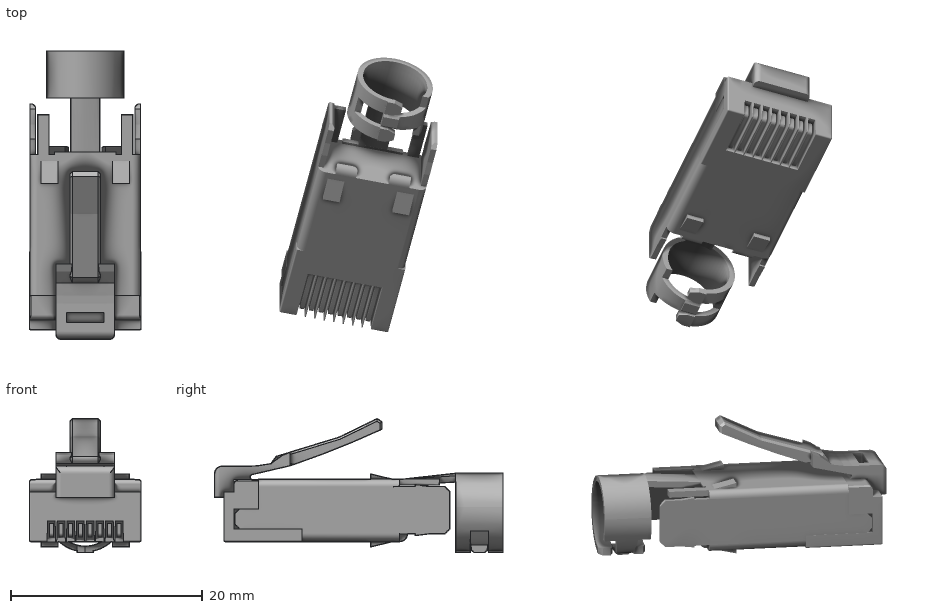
import cadquery as cq
import math

LENGTH = 30.2

SHIELD_WIDTH = 11.6
SHIELD_HEIGHT = 6.55
SHIELD_FRONT = 4.6
SHIELD_REAR = 19.35
SHIELD_CORNER = 0.82
SHEET = 0.63
TOP_PLATE_REAR = 19.63
TOP_PLATE_HALF_WIDTH = 3.95
HALF_SHIELD = SHIELD_WIDTH / 2

NOSE_WIDTH = 11.7
NOSE_FRONT = 1.0
NOSE_HEIGHT = 6.5
NOSE_STEP_Y = 2.05
NOSE_STEP_Z = 5.2
NOSE_TOP_RADIUS = 0.48
NOSE_EDGE = 0.15
SKIRT_REAR = 9.15
SKIRT_HEIGHT = 1.35
WINDOW_TOP = 3.45
WINDOW_CORNER = 0.48
TONGUE_GAP = 0.1

SIDE_PLATE_REAR = 24.65
SIDE_PLATE_THICKNESS = 0.6
SIDE_PLATE_TOP = 5.8
SIDE_PLATE_CHAMFER = 0.55
SIDE_BARB_FRONT = 21.0
SIDE_BARB_REAR = 22.45
SIDE_BARB_HEIGHT = 0.18
TAB_INNER = 3.78
TAB_WIDTH = 1.2
TAB_REAR = 23.53
RELIEF_WIDTH = 0.55
LIP_REAR = 20.2
LIP_INNER = 1.75
LIP_CHAMFER = 0.35

BARB_INNER = 2.85
BARB_WIDTH = 1.78
BARB_FRONT = 16.35
BARB_REAR = 18.63
BARB_HEIGHT = 0.55

LATCH_WIDTH = 6.13
LATCH_BOTTOM = 4.65
LATCH_TOP = 7.9
LATCH_TOP_RADIUS = 0.82
LATCH_SIDE_RADIUS = 0.55
LEVER_WIDTH = 3.2
LEVER_CHAMFER = 0.25
HINGE_RADIUS = 0.27
SLOT_LENGTH = 3.95
SLOT_WIDTH = 1.05
SLOT_CENTER_Y = 2.3
SLOT_DEPTH = 1.2
SLOT_CORNER = 0.15

CONTACT_COUNT = 8
CONTACT_ROW_SPAN = 7.1
CONTACT_PITCH = CONTACT_ROW_SPAN / (CONTACT_COUNT - 1)
CONTACT_SLOT_TOP_WIDTH = 0.8
CONTACT_SLOT_BOTTOM_WIDTH = 0.9
CONTACT_SLOT_HEIGHT = 2.17
CONTACT_SLOT_LENGTH = 5.45
BLADE_WIDTH = 0.42
BLADE_BOTTOM = 0.5
BLADE_TOP = 1.93
BLADE_SETBACK = 0.45
BLADE_RADIUS = 0.35

SLEEVE_RADIUS = 4.02
SLEEVE_AXIS_Z = 3.2
SLEEVE_SEAM_RISE = 0.4
SLEEVE_FRONT = 25.25
SLEEVE_WALL = 0.6
SLEEVE_SAG = 0.25
SLEEVE_INNER_RADIUS = SLEEVE_RADIUS - SLEEVE_WALL
CRIMP_NOTCH_TOP = 1.15
CRIMP_OVERLAP = 0.85
CRIMP_BOTTOM = -1.15
TONGUE_ROOT_HALF = 1.15
TONGUE_TIP_HALF = 0.8
TONGUE_TIP_CHAMFER = 0.25
PRONG_GAP_HALF = 0.95
PRONG_CHAMFER = 0.35
STRIP_WIDTH = 3.05
STRIP_END_CROWN = 0.015


def box(x0, x1, y0, y1, z0, z1):
    """Box between opposite corners."""
    return cq.Workplane("XY").box(x1 - x0, y1 - y0, z1 - z0, centered=False).translate((x0, y0, z0))


def side_prism(profile, x0, x1):
    """Closed (Y, Z) profile extruded from x0 to x1."""
    return cq.Workplane("YZ").polyline(profile).close().extrude(x1 - x0).translate((x0, 0, 0))


def both_sides(shape):
    """The shape together with its mirror image across X = 0."""
    return shape.union(shape.mirror("YZ"))


def make_shield():
    shell = box(-HALF_SHIELD, HALF_SHIELD, SHIELD_FRONT, SHIELD_REAR, 0, SHIELD_HEIGHT)
    shell = shell.edges("|Y").fillet(SHIELD_CORNER)
    top_plate = box(
        -TOP_PLATE_HALF_WIDTH, TOP_PLATE_HALF_WIDTH,
        SHIELD_FRONT, TOP_PLATE_REAR, SHIELD_HEIGHT - SHEET, SHIELD_HEIGHT,
    )
    tab = box(
        TAB_INNER, TAB_INNER + TAB_WIDTH,
        SHIELD_REAR, TAB_REAR, SHIELD_HEIGHT - SHEET, SHIELD_HEIGHT,
    )
    relief = box(
        TAB_INNER - RELIEF_WIDTH, TAB_INNER,
        SHIELD_REAR, TOP_PLATE_REAR, SHIELD_HEIGHT - SHEET, SHIELD_HEIGHT,
    )
    return shell.union(top_plate).cut(both_sides(relief)).union(both_sides(tab))


def make_side_plate():
    bottom = SHIELD_CORNER
    top = SIDE_PLATE_TOP
    inner = HALF_SHIELD - SIDE_PLATE_THICKNESS
    plate = box(inner, HALF_SHIELD, SHIELD_REAR - SHEET, SIDE_PLATE_REAR, bottom, top)
    plate = plate.edges("|X and >Y").chamfer(SIDE_PLATE_CHAMFER)
    plate = plate.faces(">Y").edges("<X").chamfer(SIDE_PLATE_THICKNESS / 2)
    for edge, outward in ((bottom, -1), (top, 1)):
        barb = [
            (SIDE_BARB_FRONT, edge),
            (SIDE_BARB_REAR, edge),
            (SIDE_BARB_FRONT, edge + outward * SIDE_BARB_HEIGHT),
        ]
        plate = plate.union(side_prism(barb, inner, HALF_SHIELD))
    return plate


def make_rear_lip():
    """Quarter-round continuation of the bottom plate, curling up at the cable end."""
    lip = (
        cq.Workplane("YZ")
        .moveTo(SHIELD_REAR - SHEET, 0)
        .lineTo(SHIELD_REAR, 0)
        .tangentArcPoint((LIP_REAR, SHIELD_CORNER), relative=False)
        .lineTo(SHIELD_REAR - SHEET, SHIELD_CORNER)
        .close()
        .extrude(TOP_PLATE_HALF_WIDTH - LIP_INNER)
        .translate((LIP_INNER, 0, 0))
    )
    return lip.faces("<X").edges(">Z").chamfer(LIP_CHAMFER)


def make_barb():
    top = [
        (BARB_REAR, SHIELD_HEIGHT),
        (BARB_FRONT, SHIELD_HEIGHT + BARB_HEIGHT),
        (BARB_FRONT, SHIELD_HEIGHT),
    ]
    upper = side_prism(top, BARB_INNER, BARB_INNER + BARB_WIDTH)
    lower = upper.mirror("XY").translate((0, 0, SHIELD_HEIGHT))
    return upper.union(lower)


def make_nose():
    half = NOSE_WIDTH / 2
    front = box(-half, half, NOSE_FRONT, SHIELD_FRONT, 0, NOSE_STEP_Z)
    skirt = box(-half, half, NOSE_STEP_Y, SKIRT_REAR, 0, SKIRT_HEIGHT)
    front = front.union(skirt)
    front = front.edges("(|Z and <Y) or (<Z and (not >Y))").fillet(NOSE_EDGE)
    upper = box(-half, half, NOSE_STEP_Y, SHIELD_FRONT, NOSE_STEP_Z / 2, NOSE_HEIGHT)
    upper = upper.edges("|Y and >Z").chamfer(NOSE_EDGE)
    upper = upper.edges("|X and >Z and <Y").fillet(NOSE_TOP_RADIUS)
    nose = front.union(upper)

    window = box(HALF_SHIELD - SHEET, half, NOSE_STEP_Y, SHIELD_FRONT, SKIRT_HEIGHT, WINDOW_TOP)
    tongue = box(
        HALF_SHIELD - SHEET, HALF_SHIELD,
        NOSE_STEP_Y + TONGUE_GAP, SHIELD_FRONT, SKIRT_HEIGHT, WINDOW_TOP,
    )
    tongue = tongue.edges("|X and <Y").chamfer(WINDOW_CORNER)
    return nose.cut(both_sides(window)).union(both_sides(tongue))


def make_contact_slot():
    half_top = CONTACT_SLOT_TOP_WIDTH / 2
    half_bottom = CONTACT_SLOT_BOTTOM_WIDTH / 2
    rear = NOSE_FRONT + CONTACT_SLOT_LENGTH
    outline = [
        (-half_bottom, 0),
        (half_bottom, 0),
        (half_top, CONTACT_SLOT_HEIGHT),
        (-half_top, CONTACT_SLOT_HEIGHT),
    ]
    slot = cq.Workplane("XZ").polyline(outline).close().extrude(-CONTACT_SLOT_LENGTH)
    slot = slot.translate((0, NOSE_FRONT, 0))
    blade = box(
        -BLADE_WIDTH / 2, BLADE_WIDTH / 2,
        NOSE_FRONT + BLADE_SETBACK, rear, BLADE_BOTTOM, BLADE_TOP,
    )
    blade = blade.edges("|X and <Y and <Z").fillet(BLADE_RADIUS)
    return slot.cut(blade)


def make_latch():
    hinge_y = 4.02
    hinge_z = NOSE_HEIGHT + 2 * HINGE_RADIUS
    bend_y = 7.9
    bend_low = 7.95
    ramp_foot = (5.92, 8.18)

    root = (
        cq.Workplane("YZ")
        .moveTo(0, LATCH_BOTTOM)
        .lineTo(0, LATCH_TOP - LATCH_TOP_RADIUS)
        .tangentArcPoint((LATCH_TOP_RADIUS, LATCH_TOP), relative=False)
        .lineTo(3.7, LATCH_TOP)
        .lineTo(SHIELD_FRONT, 7.97)
        .lineTo(*ramp_foot)
        .lineTo(7.1, 9.03)
        .lineTo(bend_y, 9.35)
        .lineTo(bend_y, bend_low)
        .lineTo(hinge_y, hinge_z)
        .threePointArc((hinge_y - HINGE_RADIUS, hinge_z - HINGE_RADIUS), (hinge_y, NOSE_HEIGHT))
        .lineTo(NOSE_STEP_Y, NOSE_HEIGHT)
        .lineTo(NOSE_STEP_Y, LATCH_BOTTOM)
        .close()
        .extrude(LATCH_WIDTH / 2, both=True)
    )
    plan = box(-LATCH_WIDTH / 2, LATCH_WIDTH / 2, 0, bend_y, 0, LATCH_TOP * 2)
    root = root.intersect(plan.edges("|Z and <Y").fillet(LATCH_SIDE_RADIUS))
    slot = (
        cq.Workplane("XY", origin=(0, SLOT_CENTER_Y, LATCH_TOP))
        .rect(SLOT_LENGTH, SLOT_WIDTH)
        .extrude(-SLOT_DEPTH)
        .edges("|Z")
        .fillet(SLOT_CORNER)
    )

    tip_y = 17.55
    lever = (
        cq.Workplane("YZ")
        .moveTo(*ramp_foot)
        .lineTo(6.45, 8.95)
        .lineTo(13.08, 10.95)
        .lineTo(17.03, 12.9)
        .lineTo(tip_y, 12.53)
        .lineTo(tip_y, 11.78)
        .threePointArc((12.53, 9.63), (bend_y, bend_low))
        .close()
        .extrude(LEVER_WIDTH / 2, both=True)
    )
    lever = lever.faces("<X or >X").edges(">Y or (not %CIRCLE)").chamfer(LEVER_CHAMFER)
    return root.cut(slot).union(lever)


def sleeve_core(radius):
    """Solid along the sleeve: a round upper arc over a slightly sagging lower arc."""
    seam_half = math.sqrt(radius ** 2 - SLEEVE_SEAM_RISE ** 2)
    return (
        cq.Workplane("XZ", origin=(0, SLEEVE_FRONT, SLEEVE_AXIS_Z))
        .moveTo(-seam_half, SLEEVE_SEAM_RISE)
        .threePointArc((0, radius), (seam_half, SLEEVE_SEAM_RISE))
        .threePointArc((0, -radius - SLEEVE_SAG), (-seam_half, SLEEVE_SEAM_RISE))
        .close()
        .extrude(SLEEVE_FRONT - LENGTH)
    )


def make_sleeve():
    """Tube closed underneath by a tongue from -X interlocking with two prongs from +X."""
    middle_y = (LENGTH + SLEEVE_FRONT) / 2
    crimp_pad = box(-CRIMP_OVERLAP, CRIMP_OVERLAP, SLEEVE_FRONT, LENGTH, CRIMP_BOTTOM, 0)
    ring = sleeve_core(SLEEVE_RADIUS).union(crimp_pad).cut(sleeve_core(SLEEVE_INNER_RADIUS))

    tongue_outline = [
        (middle_y - TONGUE_ROOT_HALF, CRIMP_NOTCH_TOP),
        (middle_y + TONGUE_ROOT_HALF, CRIMP_NOTCH_TOP),
        (middle_y + TONGUE_TIP_HALF, CRIMP_BOTTOM),
        (middle_y - TONGUE_TIP_HALF, CRIMP_BOTTOM),
    ]
    tongue_space = side_prism(tongue_outline, -SLEEVE_RADIUS - SLEEVE_WALL, CRIMP_OVERLAP)
    tongue_space = tongue_space.edges("|X and <Z").chamfer(TONGUE_TIP_CHAMFER)

    outer_x = SLEEVE_RADIUS + SLEEVE_WALL
    prong_inner_y = middle_y - PRONG_GAP_HALF
    prong_outline = [
        (outer_x, SLEEVE_FRONT),
        (0, SLEEVE_FRONT),
        (-CRIMP_OVERLAP, SLEEVE_FRONT + PRONG_CHAMFER),
        (-CRIMP_OVERLAP, prong_inner_y - PRONG_CHAMFER),
        (0, prong_inner_y),
        (outer_x, prong_inner_y),
    ]
    prong_space = (
        cq.Workplane("XY", origin=(0, 0, CRIMP_BOTTOM))
        .polyline(prong_outline)
        .close()
        .extrude(CRIMP_NOTCH_TOP - CRIMP_BOTTOM)
    )
    prong_space = prong_space.union(prong_space.mirror("XZ", (0, middle_y, 0)))

    lower_half = box(-outer_x, outer_x, SLEEVE_FRONT, LENGTH, CRIMP_BOTTOM, CRIMP_NOTCH_TOP)
    fingers = ring.intersect(tongue_space.union(prong_space))
    return ring.cut(lower_half).union(fingers)


def make_strip():
    """Strap that blends from the curved sleeve wall into the flat top plate."""
    half = STRIP_WIDTH / 2

    def crown(radius, x):
        return SLEEVE_AXIS_Z + math.sqrt(radius ** 2 - x ** 2)

    def section(y, top, top_edge, bottom, bottom_edge):
        return (
            cq.Workplane("XZ", origin=(0, y, 0))
            .moveTo(-half, top_edge)
            .threePointArc((0, top), (half, top_edge))
            .lineTo(half, bottom_edge)
            .threePointArc((0, bottom), (-half, bottom_edge))
            .close()
            .wires()
            .val()
        )

    sleeve_end = section(
        SLEEVE_FRONT + SHEET / 2,
        crown(SLEEVE_RADIUS, 0), crown(SLEEVE_RADIUS, half),
        crown(SLEEVE_INNER_RADIUS, 0), crown(SLEEVE_INNER_RADIUS, half),
    )
    plate_bottom = SHIELD_HEIGHT - SHEET
    plate_end = section(
        TOP_PLATE_REAR,
        SHIELD_HEIGHT, SHIELD_HEIGHT - STRIP_END_CROWN, plate_bottom + STRIP_END_CROWN, plate_bottom,
    )
    return cq.Workplane(cq.Solid.makeLoft([sleeve_end, plate_end], True))


plug = make_shield().union(make_nose())
for slot_index in range(CONTACT_COUNT):
    slot_x = slot_index * CONTACT_PITCH - CONTACT_ROW_SPAN / 2
    plug = plug.cut(make_contact_slot().translate((slot_x, 0, 0)))
for feature in (make_side_plate(), make_rear_lip(), make_barb()):
    plug = plug.union(both_sides(feature))
result = plug.union(make_latch()).union(make_sleeve()).union(make_strip())